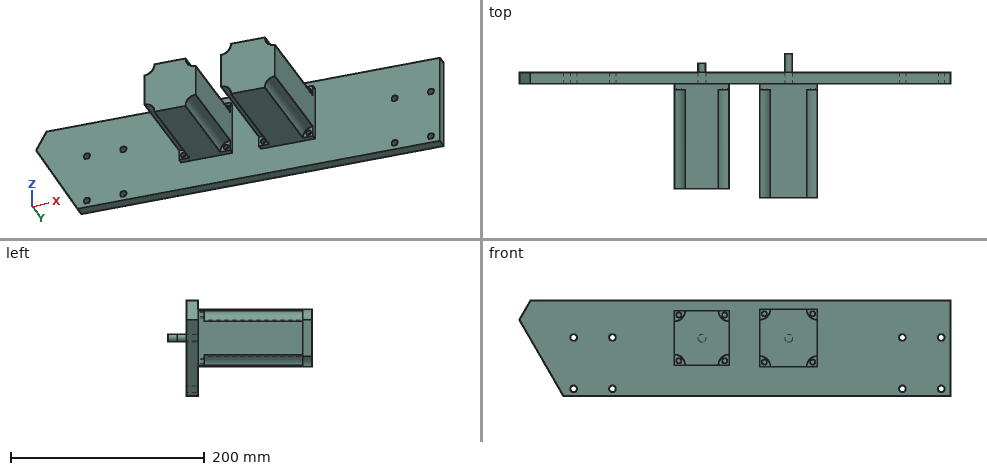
import cadquery as cq
import math

plate_length = 445.5
plate_height = 99.0
plate_thickness = 12.0
tip_height = 79.0
tip_edge_angle = math.radians(60)

plate_hole_diameter = 6.5
hole_group_starts = (56.0, 395.5)
hole_pitch_x = 40.0
lower_hole_height = 7.5
hole_pitch_z = 53.0

shaft_height = 60.0
shaft_diameter = 8.0
flange_thickness = 6.2
flange_hole_diameter = 5.5
corner_relief_radius = 11.0

small_motor_x = 188.5
small_motor_width = 56.5
small_motor_length = 108.5
small_motor_hole_pitch = 47.2
small_shaft_reach = 9.5

large_motor_x = 278.0
large_motor_width = 59.5
large_motor_length = 117.5
large_motor_hole_pitch = 50.0
large_shaft_reach = 19.0


def make_plate():
    """Plate with a pointed left end, mounting holes and shaft holes."""
    lower_corner_x = tip_height / math.tan(tip_edge_angle)
    upper_corner_x = (plate_height - tip_height) / math.tan(tip_edge_angle)
    outline = [
        (lower_corner_x, 0),
        (plate_length, 0),
        (plate_length, plate_height),
        (upper_corner_x, plate_height),
        (0, tip_height),
    ]
    body = cq.Workplane("XZ").polyline(outline).close().extrude(-plate_thickness)

    mounting_points = [
        (start + column * hole_pitch_x, lower_hole_height + row * hole_pitch_z)
        for start in hole_group_starts
        for column in range(2)
        for row in range(2)
    ]
    mounting_holes = (
        cq.Workplane("XZ").pushPoints(mounting_points)
        .circle(plate_hole_diameter / 2).extrude(-plate_thickness)
    )
    shaft_holes = (
        cq.Workplane("XZ").pushPoints([(small_motor_x, shaft_height), (large_motor_x, shaft_height)])
        .circle(shaft_diameter / 2).extrude(-plate_thickness)
    )
    return body.cut(mounting_holes).cut(shaft_holes)


def make_motor(center_x, width, length, flange_hole_pitch, shaft_reach):
    """Square motor with concave housing corners, a drilled flange and a shaft."""
    face = cq.Workplane("XZ", origin=(center_x, 0, shaft_height))
    block = face.rect(width, width).extrude(length)

    corner_reliefs = (
        face.workplane(offset=flange_thickness).rect(width, width, forConstruction=True).vertices()
        .circle(corner_relief_radius).extrude(length - flange_thickness)
    )
    flange_holes = (
        face.rect(flange_hole_pitch, flange_hole_pitch, forConstruction=True).vertices()
        .circle(flange_hole_diameter / 2).extrude(flange_thickness)
    )
    shaft = face.circle(shaft_diameter / 2).extrude(-(plate_thickness + shaft_reach))
    return block.cut(corner_reliefs).cut(flange_holes).union(shaft)


plate = make_plate()

motor_sizes = [
    (small_motor_x, small_motor_width, small_motor_length, small_motor_hole_pitch, small_shaft_reach),
    (large_motor_x, large_motor_width, large_motor_length, large_motor_hole_pitch, large_shaft_reach),
]
motors = [make_motor(*sizes) for sizes in motor_sizes]

result = cq.Compound.makeCompound([plate.val(), *[motor.val() for motor in motors]])